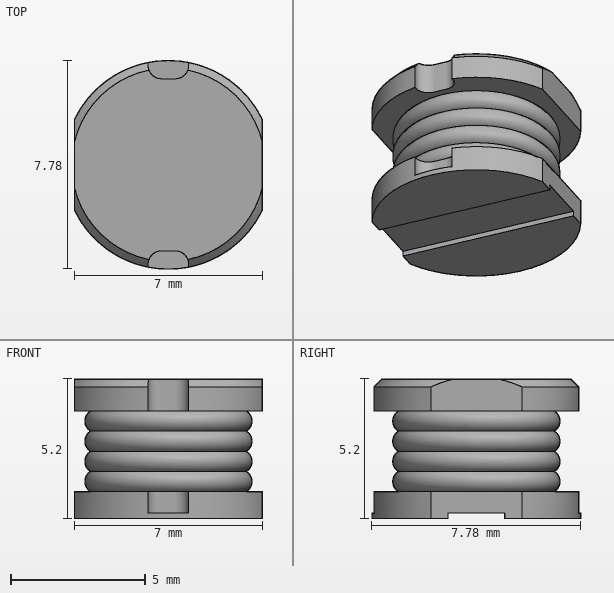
import cadquery as cq

flange_radius = 3.89
flange_width = 7.0

base_height = 1.0
top_flange_height = 1.19
total_height = 5.2
top_chamfer = 0.29

turn_count = 4
winding_radius = 3.12
turn_bulge = 0.21
winding_height = total_height - base_height - top_flange_height
turn_pitch = winding_height / turn_count
valley_radius = winding_radius - turn_bulge

notch_corner_radius = 0.505
notch_width = 3 * notch_corner_radius
notch_floor_y = 3.205
notch_lip_height = 0.2

channel_width = 2.1
channel_depth = notch_lip_height


def make_disc(bottom_z, height):
    return cq.Workplane("XY").workplane(offset=bottom_z).circle(flange_radius).extrude(height)


def trim_flats(body):
    envelope = cq.Workplane("XY").box(
        flange_width, 2 * flange_radius, total_height, centered=(True, True, False)
    )
    return body.intersect(envelope)


def make_winding():
    profile = cq.Workplane("XZ").moveTo(0, base_height).lineTo(valley_radius, base_height)
    for turn in range(turn_count):
        turn_bottom = base_height + turn * turn_pitch
        profile = profile.threePointArc(
            (winding_radius, turn_bottom + turn_pitch / 2),
            (valley_radius, turn_bottom + turn_pitch),
        )
    profile = profile.lineTo(0, base_height + winding_height).close()
    return profile.revolve(360, (0, 0, 0), (0, 1, 0))


def make_notch(side, bottom_z, height):
    """Round-cornered pocket cutter, running out through the rim on the given Y side."""
    length = 2 * (flange_radius - notch_floor_y) + 2 * notch_corner_radius
    center_y = side * (notch_floor_y + length / 2)
    return (
        cq.Workplane("XY")
        .workplane(offset=bottom_z)
        .center(0, center_y)
        .rect(notch_width, length)
        .extrude(height)
        .edges("|Z")
        .fillet(notch_corner_radius)
    )


top_flange_z = total_height - top_flange_height
base = make_disc(0, base_height)
top_flange = make_disc(top_flange_z, top_flange_height).faces(">Z").edges().chamfer(top_chamfer)

for side in (-1, 1):
    base = base.cut(make_notch(side, notch_lip_height, base_height - notch_lip_height))
    top_flange = top_flange.cut(make_notch(side, top_flange_z, top_flange_height))

channel = cq.Workplane("XY").box(
    flange_width, channel_width, channel_depth, centered=(True, True, False)
)
base = trim_flats(base).cut(channel)

result = base.union(make_winding()).union(trim_flats(top_flange))